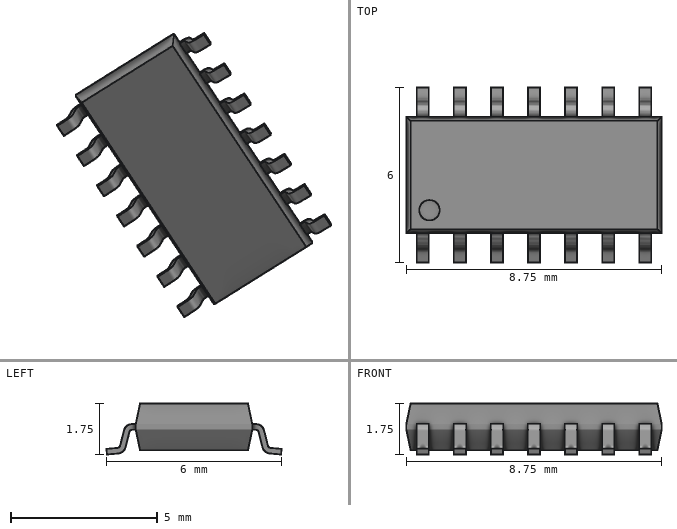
import cadquery as cq
import math

body_length = 8.75
body_width = 4.0
half_height = 0.71
band_height = 0.18
taper_inset = 0.15
overall_height = 1.75

overall_width = 6.0
leads_per_side = 7
lead_pitch = 1.27
lead_width = 0.42
lead_thickness = 0.2
lead_embed = 0.175
shoulder_length = 0.11
shoulder_inner_radius = 0.1
ankle_inner_radius = 0.1
foot_length = 0.385
foot_slope = math.radians(5)

mark_diameter = 0.7
mark_depth = 0.04
mark_from_end = 0.8
mark_from_side = 0.8

band_top = overall_height - half_height
band_bottom = band_top - band_height
lead_top = (band_top + band_bottom + lead_thickness) / 2
lead_bottom = lead_top - lead_thickness


def tapered_half(base_z, direction):
    """Half of the body, narrowing from the band towards the top (+1) or the bottom (-1)."""
    return (
        cq.Workplane("XY", origin=(0, 0, base_z))
        .rect(body_length, body_width)
        .workplane(offset=direction * half_height)
        .rect(body_length - 2 * taper_inset, body_width - 2 * taper_inset)
        .loft(ruled=True)
    )


def make_body():
    band = cq.Workplane("XY", origin=(0, 0, band_bottom)).box(
        body_length, body_width, band_height, centered=(True, True, False)
    )
    return band.union(tapered_half(band_top, 1)).union(tapered_half(band_bottom, -1))


def polar(center, radius, angle):
    """Point at a radius from a center; the angle is measured from +Z towards +Y."""
    return (center[0] + radius * math.sin(angle), center[1] + radius * math.cos(angle))


def make_lead():
    """Lead on the +Y side, centered on X = 0."""
    shoulder_outer_radius = shoulder_inner_radius + lead_thickness
    ankle_outer_radius = ankle_inner_radius + lead_thickness
    root_y = body_width / 2 - lead_embed

    tip_top = (overall_width / 2, lead_thickness * math.cos(foot_slope))
    tip_bottom = polar(tip_top, -lead_thickness, foot_slope)
    foot_start_top = polar(tip_top, -foot_length, foot_slope + math.pi / 2)

    shoulder = (body_width / 2 + shoulder_length, lead_top - shoulder_outer_radius)
    ankle = polar(foot_start_top, ankle_inner_radius, foot_slope)

    span_y = ankle[0] - shoulder[0]
    span_z = ankle[1] - shoulder[1]
    radius_sum = shoulder_outer_radius + ankle_inner_radius
    leg_slope = math.atan2(span_y, span_z) - math.acos(radius_sum / math.hypot(span_y, span_z))
    shoulder_middle = leg_slope / 2
    ankle_middle = (leg_slope + foot_slope) / 2

    profile = (
        cq.Workplane("YZ", origin=(-lead_width / 2, 0, 0))
        .moveTo(root_y, lead_top)
        .lineTo(shoulder[0], lead_top)
        .threePointArc(
            polar(shoulder, shoulder_outer_radius, shoulder_middle),
            polar(shoulder, shoulder_outer_radius, leg_slope),
        )
        .lineTo(*polar(ankle, -ankle_inner_radius, leg_slope))
        .threePointArc(polar(ankle, -ankle_inner_radius, ankle_middle), foot_start_top)
        .lineTo(*tip_top)
        .lineTo(*tip_bottom)
        .lineTo(*polar(ankle, -ankle_outer_radius, foot_slope))
        .threePointArc(
            polar(ankle, -ankle_outer_radius, ankle_middle),
            polar(ankle, -ankle_outer_radius, leg_slope),
        )
        .lineTo(*polar(shoulder, shoulder_inner_radius, leg_slope))
        .threePointArc(
            polar(shoulder, shoulder_inner_radius, shoulder_middle),
            (shoulder[0], lead_bottom),
        )
        .lineTo(root_y, lead_bottom)
        .close()
    )
    return profile.extrude(lead_width)


def make_pin_mark():
    return (
        cq.Workplane("XY", origin=(0, 0, overall_height))
        .center(mark_from_end - body_length / 2, mark_from_side - body_width / 2)
        .circle(mark_diameter / 2)
        .extrude(-mark_depth)
    )


result = make_body().cut(make_pin_mark())

back_lead = make_lead()
front_lead = back_lead.mirror("XZ")
for index in range(leads_per_side):
    lead_x = (index - (leads_per_side - 1) / 2) * lead_pitch
    for lead in (back_lead, front_lead):
        result = result.union(lead.translate((lead_x, 0, 0)))